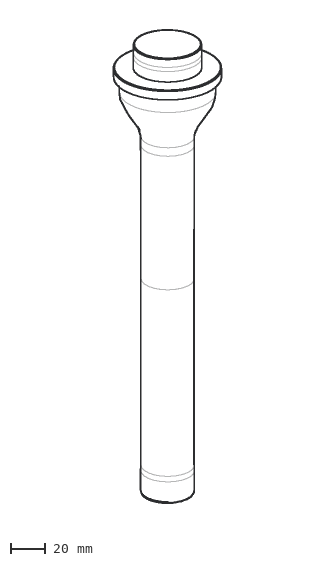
import cadquery as cq

total_height = 287.0

neck_tip_diameter = 39.5
neck_diameter = 40.0
neck_cone_top_z = 281.5
neck_cone_bottom_z = 279.0
neck_tip_chamfer = 0.5
flange_diameter = 62.5
flange_top_z = 272.0
flange_bottom_z = 266.0
flange_edge_chamfer = 0.5

bell_diameter = 56.0
bell_rim_bottom_z = 256.5
bell_waist_diameter = 49.6
bell_waist_z = 246.2
bell_throat_diameter = 34.2
bell_throat_z = 234.2
collar_top_z = 228.2
collar_diameter = 31.3
collar_bottom_z = 222.7
stem_diameter = 31.0
stem_taper_end_z = 137.2
foot_cone_top_z = 17.8
foot_cone_bottom_z = 14.3
foot_diameter = collar_diameter
foot_edge_radius = 1.5


def make_plug():
    """Revolve the flange and its neck, with a slight cone between the two neck diameters."""
    tip_radius = neck_tip_diameter / 2
    neck_radius = neck_diameter / 2
    flange_radius = flange_diameter / 2
    return (
        cq.Workplane("XZ")
        .moveTo(0, flange_bottom_z)
        .lineTo(flange_radius, flange_bottom_z)
        .lineTo(flange_radius, flange_top_z - flange_edge_chamfer)
        .lineTo(flange_radius - flange_edge_chamfer, flange_top_z)
        .lineTo(neck_radius, flange_top_z)
        .lineTo(neck_radius, neck_cone_bottom_z)
        .lineTo(tip_radius, neck_cone_top_z)
        .lineTo(tip_radius, total_height - neck_tip_chamfer)
        .lineTo(tip_radius - neck_tip_chamfer, total_height)
        .lineTo(0, total_height)
        .close()
        .revolve(360, (0, 0), (0, 1))
    )


def make_tube():
    """Revolve the bell mouth, collar, tapering stem and foot as one solid."""
    bell_radius = bell_diameter / 2
    collar_radius = collar_diameter / 2
    stem_radius = stem_diameter / 2
    foot_radius = foot_diameter / 2

    bell_curve = [
        (bell_waist_diameter / 2, bell_waist_z),
        (bell_throat_diameter / 2, bell_throat_z),
        (collar_radius, collar_top_z),
    ]
    straight_down = (0, -1)

    taper_middle_radius = stem_radius + (collar_radius - stem_radius) / 4
    taper_middle_z = (collar_bottom_z + stem_taper_end_z) / 2

    return (
        cq.Workplane("XZ")
        .moveTo(0, flange_bottom_z)
        .lineTo(bell_radius, flange_bottom_z)
        .lineTo(bell_radius, bell_rim_bottom_z)
        .spline(bell_curve, tangents=[straight_down, straight_down], includeCurrent=True)
        .lineTo(collar_radius, collar_bottom_z)
        .threePointArc((taper_middle_radius, taper_middle_z), (stem_radius, stem_taper_end_z))
        .lineTo(stem_radius, foot_cone_top_z)
        .lineTo(foot_radius, foot_cone_bottom_z)
        .lineTo(foot_radius, 0)
        .lineTo(0, 0)
        .close()
        .revolve(360, (0, 0), (0, 1))
        .faces("<Z")
        .edges()
        .fillet(foot_edge_radius)
    )


plug = make_plug()
tube = make_tube()

result = cq.Compound.makeCompound([plug.val(), tube.val()])